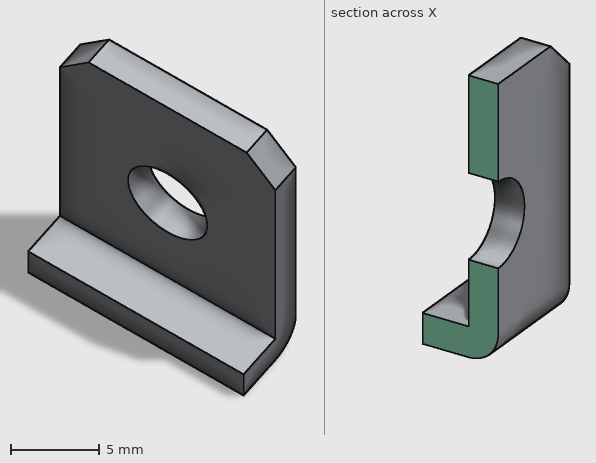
import cadquery as cq

width = 15.0
depth = 5.1
height = 18.0

thickness = 2.0
bend_radius = thickness
corner_chamfer = 2.0
hole_diameter = 5.5
hole_height = height / 2


def bent_plate():
    """L-shaped plate: upright wall at the +Y side, foot towards -Y, rounded outer bend."""
    blank = cq.Workplane("XY").box(width, depth, height, centered=(True, False, False))
    blank = blank.edges("|X and >Y and <Z").fillet(bend_radius)
    space_above_foot = (
        cq.Workplane("XY")
        .workplane(offset=thickness)
        .box(width, depth - thickness, height - thickness, centered=(True, False, False))
    )
    return blank.cut(space_above_foot)


def wall_hole():
    """Cylinder that pierces the upright wall along Y."""
    return (
        cq.Workplane("XZ")
        .center(0, hole_height)
        .circle(hole_diameter / 2)
        .extrude(-depth)
    )


plate = bent_plate()
plate = plate.faces(">Z").edges("|Y").chamfer(corner_chamfer)
result = plate.cut(wall_hole())